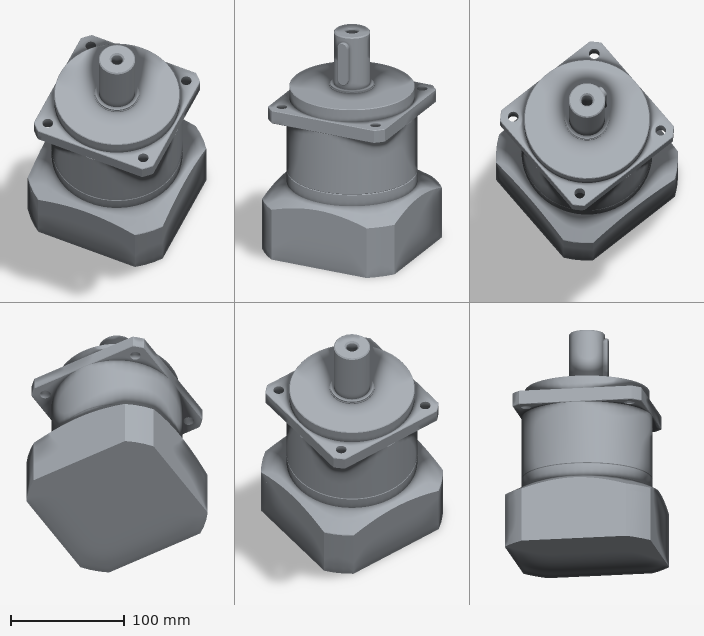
import cadquery as cq
import math

adapter_top = 42.0
cone_bottom = 47.8
cone_top = 59.3
groove_level = 70.3
plate_bottom = 126.2
plate_top = 138.5
pilot_top = 150.5
shoulder_top = 152.7
shaft_top = 202.5

base_side = 130.0
base_corner_radius = 80.0
base_corner_chamfer = 0.5

case_radius = 57.5
plate_side = 2 * case_radius
plate_corner_radius = 76.3
plate_chamfer = 0.5
groove_depth = 0.5

mount_hole_diameter = 9.3
mount_hole_spacing = 92.0

pilot_radius = 55.0
pilot_chamfer = 0.6
shoulder_radius = 19.0
lip_radius = 19.6
lip_height = 0.8
shaft_radius = 16.0
shaft_chamfer = 1.0

bore_radius = 5.0
bore_depth = 28.4
bore_countersink = 1.5
bore_tip_angle = math.radians(118)

key_width = 10.0
key_length = 40.0
key_top = 197.5
key_outer = 19.0
key_height = 7.9
key_chamfer = 0.5
key_inner = key_outer - key_height
key_middle = key_top - key_length / 2


def rounded_square(side, corner_radius, bottom, top):
    """Square prism whose corners are turned to a cylinder about the axis."""
    height = top - bottom
    square = cq.Workplane("XY").workplane(offset=bottom).rect(side, side).extrude(height)
    round_bar = cq.Workplane("XY").workplane(offset=bottom).circle(corner_radius).extrude(height)
    return square.intersect(round_bar)


def revolved(profile):
    """Solid of revolution about Z from (radius, height) points."""
    return cq.Workplane("XZ").polyline(profile).close().revolve(360, (0, 0, 0), (0, 1, 0))


def make_key_blank():
    """Round-ended bar reaching from the keyway floor to the outer key face."""
    return (
        cq.Workplane("XZ", origin=(0, key_inner, key_middle))
        .slot2D(key_length, key_width, 90)
        .extrude(-key_height)
    )


def make_adapter():
    """Motor adapter block forming the bottom of the gearbox."""
    return rounded_square(base_side, base_corner_radius, 0, adapter_top)


def make_base():
    """Upper part of the square base, roofed by a cone; the corner rims are chamfered."""
    block = rounded_square(base_side, base_corner_radius, adapter_top, cone_top)
    roof = revolved([
        (0, adapter_top),
        (base_corner_radius, adapter_top),
        (base_corner_radius, cone_bottom - base_corner_chamfer),
        (base_corner_radius - base_corner_chamfer, cone_bottom),
        (case_radius, cone_top),
        (0, cone_top),
    ])
    return block.intersect(roof)


def make_case():
    """Cylindrical gear case with a V-groove at its joint."""
    return revolved([
        (0, cone_top),
        (case_radius, cone_top),
        (case_radius, groove_level - groove_depth),
        (case_radius - groove_depth, groove_level),
        (case_radius, groove_level + groove_depth),
        (case_radius, plate_bottom),
        (0, plate_bottom),
    ])


def make_plate():
    """Mounting plate with chamfered rims."""
    plate = rounded_square(plate_side, plate_corner_radius, plate_bottom, plate_top)
    return plate.faces("<Z or >Z").chamfer(plate_chamfer)


def make_pilot_and_shaft():
    """Centring pilot, shaft shoulder and output shaft."""
    return revolved([
        (0, plate_top),
        (pilot_radius, plate_top),
        (pilot_radius, pilot_top - pilot_chamfer),
        (pilot_radius - pilot_chamfer, pilot_top),
        (lip_radius, pilot_top),
        (lip_radius, pilot_top + lip_height),
        (shoulder_radius, pilot_top + lip_height),
        (shoulder_radius, shoulder_top),
        (shaft_radius, shoulder_top),
        (shaft_radius, shaft_top - shaft_chamfer),
        (shaft_radius - shaft_chamfer, shaft_top),
        (0, shaft_top),
    ])


def make_mount_holes():
    """Cutters for the four holes through the mounting plate."""
    return (
        cq.Workplane("XY")
        .workplane(offset=plate_bottom)
        .rect(mount_hole_spacing, mount_hole_spacing, forConstruction=True)
        .vertices()
        .circle(mount_hole_diameter / 2)
        .extrude(plate_top - plate_bottom)
    )


def make_bore():
    """Cutter for the countersunk centre bore with a drilled tip."""
    bore_floor = shaft_top - bore_depth
    tip_length = bore_radius / math.tan(bore_tip_angle / 2)
    return revolved([
        (0, bore_floor - tip_length),
        (bore_radius, bore_floor),
        (bore_radius, shaft_top - bore_countersink),
        (bore_radius + bore_countersink, shaft_top),
        (0, shaft_top),
    ])


def make_gearbox():
    """Gearbox from the base to the shaft end, with its keyway."""
    gearbox = make_base()
    for section in (make_case(), make_plate(), make_pilot_and_shaft()):
        gearbox = gearbox.union(section)
    for cutter in (make_mount_holes(), make_bore(), make_key_blank()):
        gearbox = gearbox.cut(cutter)
    return gearbox


def make_key():
    """Feather key, chamfered around its outer face."""
    return make_key_blank().faces(">Y").chamfer(key_chamfer)


adapter = make_adapter()
gearbox = make_gearbox()
key = make_key()

result = cq.Compound.makeCompound([adapter.val(), gearbox.val(), key.val()])